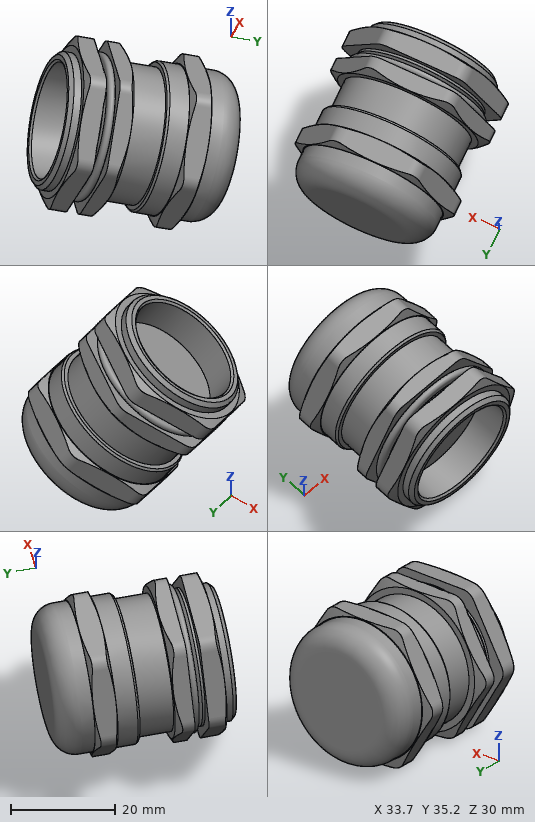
import cadquery as cq
import math


length = 35.25
across_flats = 30.0
hex_corner_radius = 3.0
hex_face_radius = 14.9
hex_rounded_radius = 16.85
envelope_margin = 0.35

thread_radius = 27.0 / 2
thread_tip_radius = 25.5 / 2
thread_chamfer_length = 0.8
bore_radius = 22.8 / 2
bore_chamfer = 0.42
bore_depth = 7.05

locknut_start = 2.33
locknut_end = 6.3
locknut_chamfer = 0.7

undercut_start = 6.85
undercut_radius = thread_tip_radius
ring_start = 7.58
body_hex_start = 9.02
ring_section_radius = (body_hex_start - ring_start) / 2
ring_outer_radius = 14.55

body_hex_end = 12.5
body_hex_chamfer = 1.05

nut_radius = 29.5 / 2
nut_start = 19.3
nut_chamfer_length = 0.45
nut_chamfer_depth = 0.35
nut_hex_start = 23.72
nut_hex_end = 28.25
nut_hex_chamfer = 0.75
dome_radius = 4.5


def revolve_profile(profile):
    """Turn an (X = radius, Y = axial position) outline about the Y axis."""
    return profile.close().revolve(360, (0, 0, 0), (0, 1, 0))


def hexagon(start, end, start_chamfer, end_chamfer):
    """Hexagon with flats facing +/-Z, rounded edges and conically chamfered faces."""
    prism = (
        cq.Workplane("XZ", origin=(0, start, 0))
        .polygon(6, across_flats / math.cos(math.radians(30)))
        .extrude(start - end)
        .edges("|Y")
        .fillet(hex_corner_radius)
    )
    outer_radius = hex_rounded_radius + envelope_margin
    slope_scale = (outer_radius - hex_face_radius) / (hex_rounded_radius - hex_face_radius)
    envelope = cq.Workplane("XY").moveTo(0, start)
    if start_chamfer:
        envelope = envelope.lineTo(hex_face_radius, start)
    envelope = envelope.lineTo(outer_radius, start + start_chamfer * slope_scale)
    envelope = envelope.lineTo(outer_radius, end - end_chamfer * slope_scale)
    if end_chamfer:
        envelope = envelope.lineTo(hex_face_radius, end)
    envelope = envelope.lineTo(0, end)
    return prism.intersect(revolve_profile(envelope))


def turned_body():
    """Thread, undercut, plain barrel and domed nut as one turned shape."""
    dome_start = length - dome_radius
    return revolve_profile(
        cq.Workplane("XY")
        .moveTo(0, 0)
        .lineTo(thread_tip_radius, 0)
        .lineTo(thread_radius, thread_chamfer_length)
        .lineTo(thread_radius, undercut_start)
        .lineTo(undercut_radius, ring_start)
        .lineTo(undercut_radius, body_hex_start)
        .lineTo(thread_radius, body_hex_start)
        .lineTo(thread_radius, nut_start)
        .lineTo(nut_radius - nut_chamfer_depth, nut_start)
        .lineTo(nut_radius, nut_start + nut_chamfer_length)
        .lineTo(nut_radius, dome_start)
        .radiusArc((nut_radius - dome_radius, length), -dome_radius)
        .lineTo(0, length)
    )


def sealing_ring():
    """Ring filling the undercut beside the body hexagon, with a half-round rim."""
    rim_radius = ring_outer_radius - ring_section_radius
    ring_middle = ring_start + ring_section_radius
    return revolve_profile(
        cq.Workplane("XY")
        .moveTo(undercut_radius, ring_start)
        .lineTo(rim_radius, ring_start)
        .threePointArc((ring_outer_radius, ring_middle), (rim_radius, body_hex_start))
        .lineTo(undercut_radius, body_hex_start)
    )


def bore():
    """Blind bore with a chamfered mouth."""
    return revolve_profile(
        cq.Workplane("XY")
        .moveTo(0, 0)
        .lineTo(bore_radius + bore_chamfer, 0)
        .lineTo(bore_radius, bore_chamfer)
        .lineTo(bore_radius, bore_depth)
        .lineTo(0, bore_depth)
    )


result = (
    turned_body()
    .union(sealing_ring())
    .union(hexagon(locknut_start, locknut_end, locknut_chamfer, 0))
    .union(hexagon(body_hex_start, body_hex_end, 0, body_hex_chamfer))
    .union(hexagon(nut_hex_start, nut_hex_end, nut_hex_chamfer, nut_hex_chamfer))
    .cut(bore())
)